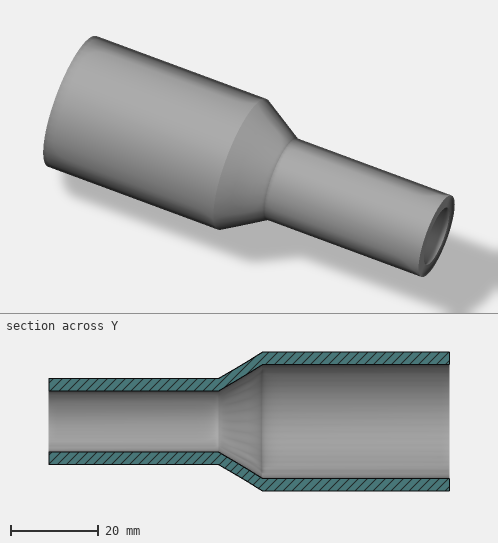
import cadquery as cq

total_length = 92.0
socket_length = 43.0
taper_length = 10.0

socket_outer_diameter = 32.0
socket_bore_diameter = 26.0
spigot_outer_diameter = 20.0
spigot_bore_diameter = 14.0


def stepped_body(wide_diameter, narrow_diameter):
    """Solid of revolution: wide cylinder, cone, then narrow cylinder along +X."""
    wide_radius = wide_diameter / 2
    narrow_radius = narrow_diameter / 2
    taper_end = socket_length + taper_length
    half_profile = (
        cq.Workplane("XY")
        .moveTo(0, 0)
        .lineTo(0, wide_radius)
        .lineTo(socket_length, wide_radius)
        .lineTo(taper_end, narrow_radius)
        .lineTo(total_length, narrow_radius)
        .lineTo(total_length, 0)
        .close()
    )
    return half_profile.revolve(360, (0, 0, 0), (1, 0, 0))


outside = stepped_body(socket_outer_diameter, spigot_outer_diameter)
bore = stepped_body(socket_bore_diameter, spigot_bore_diameter)

result = outside.cut(bore)